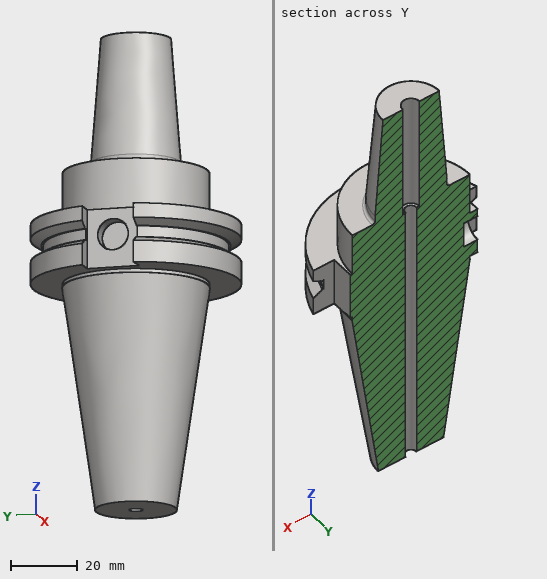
import cadquery as cq

total_height = 144.5
gauge_height = 68.2
flange_bottom = 69.3
flange_top = 87.4
collar_top = 103.3
neck_taper_start = 106.5

gauge_radius = 22.2
shank_taper = 7 / 24
shank_end_radius = gauge_radius - gauge_height * shank_taper / 2
flange_diameter = 63.4
flange_radius = flange_diameter / 2
collar_radius = 22.1
neck_base_radius = 13.6
neck_tip_diameter = 21.2
neck_tip_radius = neck_tip_diameter / 2
neck_fillet = 1.0

groove_height = 79.5
groove_floor_radius = 27.9
groove_shoulder_radius = 28.5
groove_floor_width = 3.5
groove_mouth_width = 7.1

slot_width = 16.0
left_slot_floor = 25.0
right_slot_floor = 22.8

bore_radius = 3.0
bore_depth = 43.3
through_radius = 2.0
side_hole_radius = 4.8
side_hole_depth = 5.0


def make_body():
    profile = [
        (0, 0),
        (shank_end_radius, 0),
        (gauge_radius, gauge_height),
        (collar_radius, gauge_height),
        (collar_radius, flange_bottom),
        (flange_radius, flange_bottom),
        (flange_radius, groove_height - groove_mouth_width / 2),
        (groove_shoulder_radius, groove_height - groove_floor_width / 2),
        (groove_floor_radius, groove_height - groove_floor_width / 2),
        (groove_floor_radius, groove_height + groove_floor_width / 2),
        (groove_shoulder_radius, groove_height + groove_floor_width / 2),
        (flange_radius, groove_height + groove_mouth_width / 2),
        (flange_radius, flange_top),
        (collar_radius, flange_top),
        (collar_radius, collar_top),
        (neck_base_radius + neck_fillet, collar_top),
    ]
    outline = (
        cq.Workplane("XZ")
        .polyline(profile)
        .radiusArc((neck_base_radius, collar_top + neck_fillet), neck_fillet)
        .lineTo(neck_base_radius, neck_taper_start)
        .lineTo(neck_tip_radius, total_height)
        .lineTo(0, total_height)
        .close()
    )
    return outline.revolve(360, (0, 0, 0), (0, 1, 0))


def drive_slot(side, floor):
    """Slot through the full flange height; side is -1 for -X or +1 for +X."""
    depth = flange_radius - floor
    return (
        cq.Workplane("XY", origin=(side * (floor + depth / 2), 0, flange_bottom))
        .rect(depth, slot_width)
        .extrude(flange_top - flange_bottom)
    )


def axial_bore():
    through = cq.Workplane("XY").circle(through_radius).extrude(total_height)
    wide = cq.Workplane("XY", origin=(0, 0, total_height)).circle(bore_radius).extrude(-bore_depth)
    return through.union(wide)


def side_hole():
    """Blind radial hole in the floor of the -X drive slot."""
    return (
        cq.Workplane("YZ", origin=(-left_slot_floor, 0, groove_height))
        .circle(side_hole_radius)
        .extrude(side_hole_depth)
    )


result = (
    make_body()
    .cut(drive_slot(-1, left_slot_floor))
    .cut(drive_slot(1, right_slot_floor))
    .cut(axial_bore())
    .cut(side_hole())
)